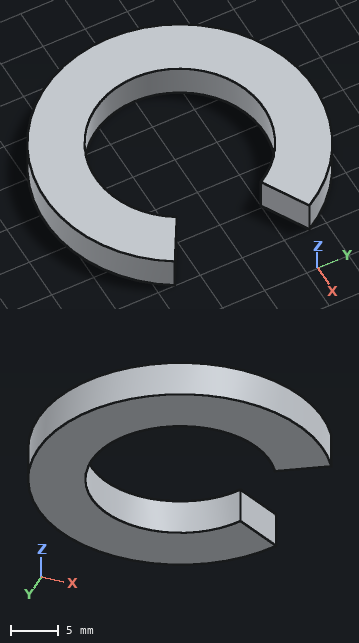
import cadquery as cq
import math

outer_radius = 16.0
wall_width = 6.0
thickness = 4.0
half_gap_angle = math.radians(30)

inner_radius = outer_radius - wall_width


def ring_point(radius, angle):
    """Point at the given radius and angle from +X, about the ring axis."""
    return (radius * math.cos(angle), radius * math.sin(angle))


result = (
    cq.Workplane("XY")
    .moveTo(*ring_point(outer_radius, half_gap_angle))
    .threePointArc((-outer_radius, 0), ring_point(outer_radius, -half_gap_angle))
    .lineTo(*ring_point(inner_radius, -half_gap_angle))
    .threePointArc((-inner_radius, 0), ring_point(inner_radius, half_gap_angle))
    .close()
    .extrude(thickness)
)